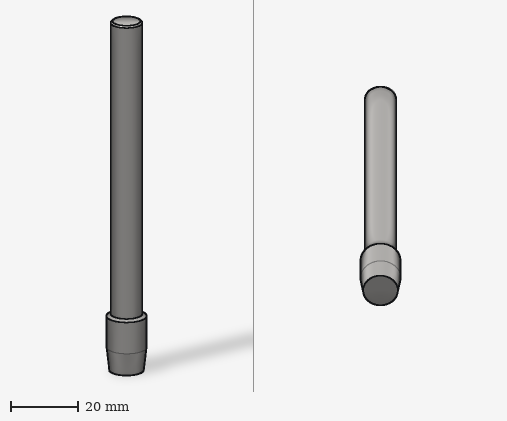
import cadquery as cq

TOTAL_LENGTH = 110.0

COLLAR_DIAMETER = 12.0
COLLAR_LENGTH = 17.7
SHOULDER_HEIGHT = 0.7
TAPER_LENGTH = 7.3
TAPER_END_DIAMETER = 10.3

ROD_DIAMETER = 9.5
ROD_CHAMFER = 0.5
ROD_LENGTH = TOTAL_LENGTH - COLLAR_LENGTH


def make_collar():
    """Solid of revolution: lower taper, cylinder, and shoulder ending at the rod diameter."""
    collar_radius = COLLAR_DIAMETER / 2
    profile = (
        cq.Workplane("XZ")
        .lineTo(TAPER_END_DIAMETER / 2, 0)
        .lineTo(collar_radius, TAPER_LENGTH)
        .lineTo(collar_radius, COLLAR_LENGTH - SHOULDER_HEIGHT)
        .lineTo(ROD_DIAMETER / 2, COLLAR_LENGTH)
        .lineTo(0, COLLAR_LENGTH)
        .close()
    )
    return profile.revolve(360, (0, 0, 0), (0, 1, 0))


def make_rod():
    """Round shaft that rests on the flat top of the collar."""
    rod = (
        cq.Workplane("XY")
        .workplane(offset=COLLAR_LENGTH)
        .circle(ROD_DIAMETER / 2)
        .extrude(ROD_LENGTH)
    )
    return rod.faces(">Z").edges().chamfer(ROD_CHAMFER)


collar = make_collar()
rod = make_rod()

result = cq.Compound.makeCompound([collar.val(), rod.val()])